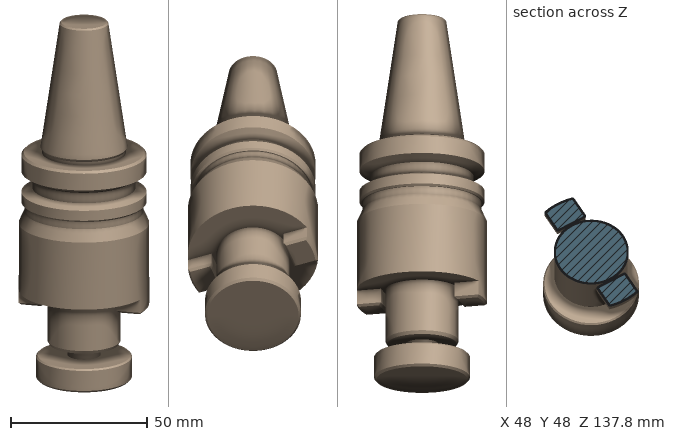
import cadquery as cq

total_height = 137.8

head_radius = 17.6
head_height = 9.1
head_bottom_chamfer = 0.8
head_top_chamfer = 0.5
screw_radius = 6.0

spigot_bottom = 13.6
spigot_radius = 13.5
spigot_chamfer = 1.2
spigot_chamfer_inset = 0.7

body_bottom = 34.3
body_radius = 24.0
body_top = 60.2
shoulder_top = 64.8
neck_radius = 21.9

flange_radius = 23.0
flange_bottom = 67.7
flange_bottom_chamfer = 0.7
groove_bottom = 72.2
groove_top = 80.1
groove_radius = 19.0
groove_lower_wall_height = 1.7
groove_upper_wall_height = 2.2
flange_top = 87.4
flange_top_chamfer = 0.8

relief_radius = 15.5
relief_height = 1.2
taper_bottom = 89.6
taper_large_radius = 16.0
taper_small_radius = 9.0
tip_chamfer = 0.5

key_angle = 53.8
key_width = 12.0
key_length = 6.0
key_inner_distance = 14.0
key_chamfer = 0.8


def make_turned_body():
    """Revolve the (radius, height) half profile about the Z axis."""
    profile = [
        (0, 0),
        (head_radius - head_bottom_chamfer, 0),
        (head_radius, head_bottom_chamfer),
        (head_radius, head_height - head_top_chamfer),
        (head_radius - head_top_chamfer, head_height),
        (screw_radius, head_height),
        (screw_radius, spigot_bottom),
        (spigot_radius - spigot_chamfer_inset, spigot_bottom),
        (spigot_radius, spigot_bottom + spigot_chamfer),
        (spigot_radius, body_bottom),
        (body_radius, body_bottom),
        (body_radius, body_top),
        (neck_radius, shoulder_top),
        (neck_radius, flange_bottom),
        (flange_radius - flange_bottom_chamfer, flange_bottom),
        (flange_radius, flange_bottom + flange_bottom_chamfer),
        (flange_radius, groove_bottom),
        (groove_radius, groove_bottom + groove_lower_wall_height),
        (groove_radius, groove_top - groove_upper_wall_height),
        (flange_radius, groove_top),
        (flange_radius, flange_top - flange_top_chamfer),
        (flange_radius - flange_top_chamfer, flange_top),
        (relief_radius, flange_top),
        (relief_radius, flange_top + relief_height),
        (taper_large_radius, taper_bottom),
        (taper_small_radius, total_height - tip_chamfer),
        (taper_small_radius - tip_chamfer, total_height),
        (0, total_height),
    ]
    return cq.Workplane("XZ").polyline(profile).close().revolve(360, (0, 0), (0, 1))


def make_drive_key(angle):
    """Make a key whose outer face is flush with the body, pointing along the given angle."""
    key_bottom = body_bottom - key_length
    bar = (
        cq.Workplane("XY")
        .box(body_radius, key_width, key_length, centered=(False, True, False))
        .translate((key_inner_distance, 0, key_bottom))
        .rotate((0, 0, 0), (0, 0, 1), angle)
    )
    envelope = cq.Workplane("XY").workplane(offset=key_bottom).circle(body_radius).extrude(key_length)
    return envelope.intersect(bar).faces("<Z").chamfer(key_chamfer)


result = make_turned_body()
for angle in (key_angle, key_angle + 180):
    result = result.union(make_drive_key(angle), clean=True)